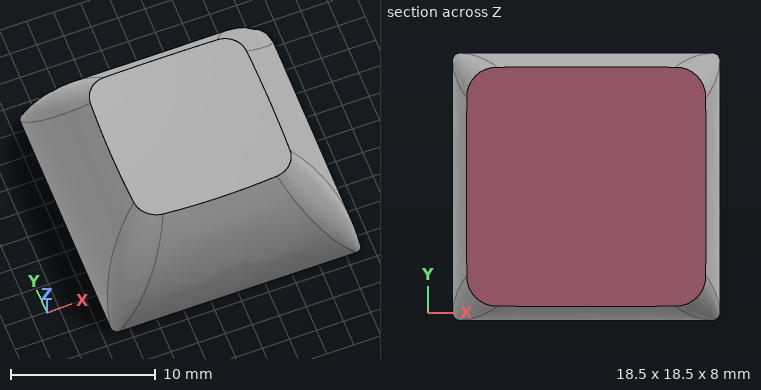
import cadquery as cq

height = 8.0
base_side = 18.5
base_corner = 0.5
loft_height = 8.14
middle_side = 16.5
middle_corner = 2.13
top_side = 11.25
top_corner = 1.5
dish_radius = 65.68
dish_depth = 0.43


def rounded_square(side, corner, level):
    outline = cq.Sketch().rect(side, side).vertices().fillet(corner)
    return outline.moved(cq.Location(cq.Vector(0, 0, level)))


def curved_body():
    """Loft with convex sides through the base, middle and top sections."""
    base = rounded_square(base_side, base_corner, 0)
    middle = rounded_square(middle_side, middle_corner, loft_height / 2)
    top = rounded_square(top_side, top_corner, loft_height)
    return cq.Workplane("XY").placeSketch(base, middle, top).loft()


def dish_cutter():
    """Sphere whose lowest point is the centre of the dish."""
    centre_height = height - dish_depth + dish_radius
    return cq.Workplane("XY").sphere(dish_radius).translate((0, 0, centre_height))


result = curved_body().cut(dish_cutter())